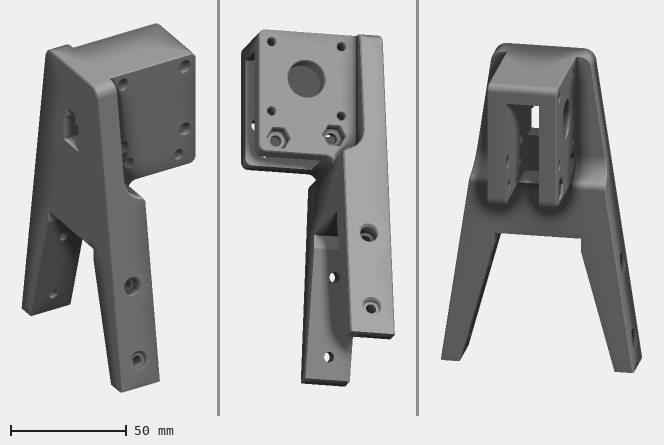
import cadquery as cq
import math

height = 140.7
depth = 53.6
foot_half = 42.41
front_y = -depth / 2
back_y = depth / 2

crown_half = 21.5
crown_radius = 5.3
outer_lean = math.atan2(foot_half - crown_half, height)
frame_depth = 19.8
frame_back_y = front_y + frame_depth
frame_chamfer = 0.5

foot_inner_half = 34.0
arch_half = 19.3
arch_height = 60.2
arch_knee_height = 54.3
inner_lean = math.atan2(foot_inner_half - arch_half, arch_knee_height)

front_axle = (-6.8, 95.1)
rear_axle = (18.0, 92.3)
axle_hole = 5.0
nut_flats = 8.7
nut_depth = 5.0

sweep_radius = 9.7
wing_back_y = front_axle[0] - sweep_radius
crest_radius = 3.0

box_half = 15.3
box_bottom = 85.8
box_corner_radius = 3.0
box_root_radius = 4.2
box_chamfer = 0.5
box_embed = 2.8

cavity_half = 7.5
cavity_top = height - (box_half - cavity_half)
cavity_front_y = front_y + 9.0

window_bottom = 102.3
window_shoulder = 114.8
window_top = 119.5
window_half = 6.3
window_neck_half = 4.0

motor_y = 5.6
motor_z = 119.5
shaft_bore = 16.3
motor_screw_spacing = 31.1
motor_screw_hole = 3.5
screw_access_hole = 6.0
hole_chamfer = 0.49

leg_screw_y = front_y + frame_depth / 2
leg_screw_heights = (12.0, 46.3)
leg_screw_hole = 4.5
leg_head_hole = 7.5
leg_seat = 8.0
overshoot = 1.4


def block(x_half, y0, y1, z0, z1):
    """Box centred on X = 0 between the given Y and Z limits."""
    solid = cq.Workplane("XY").box(2 * x_half, y1 - y0, z1 - z0, centered=(True, False, False))
    return solid.translate((0, y0, z0))


def x_cylinder(diameter, y, z, x0, x1):
    """Round bar along X."""
    return cq.Workplane("YZ", origin=(x0, y, z)).circle(diameter / 2).extrude(x1 - x0)


def countersink(diameter, mouth, axis, lead=0.0):
    """45 degree cone that breaks the edge of a hole; it starts `lead` before the mouth."""
    length = lead + hole_chamfer
    radius = diameter / 2
    cone = cq.Solid.makeCone(radius + length, radius, length, mouth - axis * lead, axis)
    return cq.Workplane(cone)


def on_outer_outline(edge):
    """True for the edges where the front and back surfaces meet the outer sides and the crown."""
    middle = edge.positionAt(0.5)
    crosses_plate = math.isclose(abs(edge.tangentAt(0).y), 1) and math.isclose(abs(edge.tangentAt(1).y), 1)
    same_height = math.isclose(edge.startPoint().z, edge.endPoint().z, abs_tol=1.41e-06)
    crosses_plate = crosses_plate and same_height
    side_x = foot_half - middle.z * math.tan(outer_lean)
    on_side = middle.z > frame_chamfer and abs(middle.x) > side_x - frame_chamfer
    on_crown = middle.z > height - crown_radius
    return (on_side or on_crown) and not crosses_plate


def make_frame():
    """A-frame with its arch, thinned wings and chamfered outline."""
    plate = (
        cq.Workplane("XZ", origin=(0, frame_back_y, 0))
        .polyline([(-foot_half, 0), (-crown_half, height), (crown_half, height), (foot_half, 0)])
        .close()
        .extrude(frame_depth)
        .edges("|Y and >Z")
        .fillet(crown_radius)
    )
    axle_y, axle_z = front_axle
    sweep = x_cylinder(2 * sweep_radius, axle_y, axle_z, -foot_half, foot_half)
    above_sweep = block(foot_half, wing_back_y, frame_back_y, axle_z, height)
    plate = plate.cut(sweep.union(above_sweep))
    crest = cq.selectors.NearestToPointSelector((0, frame_back_y, axle_z - sweep_radius))
    plate = plate.edges("|X").edges(crest).fillet(crest_radius)
    plate = plate.edges().filter(on_outer_outline).chamfer(frame_chamfer)
    arch = (
        cq.Workplane("XZ", origin=(0, frame_back_y, 0))
        .moveTo(-foot_inner_half, 0)
        .lineTo(-arch_half, arch_knee_height)
        .lineTo(-arch_half, arch_height)
        .lineTo(arch_half, arch_height)
        .lineTo(arch_half, arch_knee_height)
        .lineTo(foot_inner_half, 0)
        .close()
        .extrude(frame_depth)
    )
    return plate.cut(arch)


def make_motor_box():
    """Box that grows out of the frame, with a rounded root under it."""
    inside_y = front_y + box_embed
    profile = (
        cq.Workplane("YZ", origin=(-box_half, 0, 0))
        .moveTo(inside_y, height)
        .lineTo(back_y, height)
        .lineTo(back_y, box_bottom)
        .lineTo(frame_back_y, box_bottom)
        .lineTo(frame_back_y, arch_height)
        .lineTo(inside_y, arch_height)
        .close()
        .extrude(2 * box_half)
    )
    root = cq.selectors.NearestToPointSelector((0, frame_back_y, box_bottom))
    box = profile.edges("|X and >Y").fillet(box_corner_radius)
    box = box.edges("|X").edges(root).fillet(box_root_radius)
    return box.faces("<X or >X").edges().chamfer(box_chamfer)


def cut_belt_path(body):
    """Pulley cavity and the stepped belt window in front of it."""
    cavity = block(cavity_half, cavity_front_y, back_y, box_bottom, cavity_top)
    window = block(window_half, front_y, cavity_front_y, window_bottom, window_shoulder)
    neck = block(window_neck_half, front_y, cavity_front_y, window_shoulder, window_top)
    return body.cut(cavity).cut(window).cut(neck)


def cut_wall_hole(body, diameter, y, z):
    """Chamfered round hole through the -X wall of the box."""
    mouth = cq.Vector(-box_half, y, z)
    body = body.cut(x_cylinder(diameter, y, z, -box_half, 0))
    return body.cut(countersink(diameter, mouth, cq.Vector(1, 0, 0)))


def cut_motor_mount(body):
    """Shaft bore and the square pattern of four motor screws."""
    body = cut_wall_hole(body, shaft_bore, motor_y, motor_z)
    offset = motor_screw_spacing / 2
    for y in (motor_y - offset, motor_y + offset):
        for z in (motor_z - offset, motor_z + offset):
            body = cut_wall_hole(body, motor_screw_hole, y, z)
            body = body.cut(x_cylinder(screw_access_hole, y, z, 0, box_half))
    return body


def cut_axle(body, y, z):
    """Axle hole across the box with a chamfered hexagonal nut trap."""
    face = cq.Workplane("YZ", origin=(-box_half, y, z))
    corner_ratio = 1 / math.cos(math.pi / 6)
    nut = face.polygon(6, nut_flats * corner_ratio).extrude(nut_depth)
    mouth_flats = nut_flats + 2 * hole_chamfer
    mouth = face.polygon(6, mouth_flats * corner_ratio).extrude(hole_chamfer, taper=45)
    bore = x_cylinder(axle_hole, y, z, -box_half, box_half)
    return body.cut(nut).cut(mouth).cut(bore)


def leg_screw(z):
    """Cutter for one counterbored screw hole in the -X leg."""
    outer_x = -foot_half + z * math.tan(outer_lean)
    inner_x = -foot_inner_half + z * math.tan(inner_lean)
    leg_thickness = (inner_x - outer_x) * math.cos(inner_lean)
    head_depth = leg_thickness - leg_seat
    mouth = cq.Vector(outer_x, leg_screw_y, z)
    axis = cq.Vector(math.cos(inner_lean), 0, -math.sin(inner_lean))
    start = mouth - axis * overshoot
    shank = cq.Solid.makeCylinder(leg_screw_hole / 2, leg_thickness + 2 * overshoot, start, axis)
    head = cq.Solid.makeCylinder(leg_head_hole / 2, head_depth + overshoot, start, axis)
    cutter = cq.Workplane(shank).union(cq.Workplane(head))
    return cutter.union(countersink(leg_head_hole, mouth, axis, overshoot))


result = make_frame().union(make_motor_box())
result = cut_belt_path(result)
result = cut_motor_mount(result)
for axle_y, axle_z in (front_axle, rear_axle):
    result = cut_axle(result, axle_y, axle_z)
for screw_z in leg_screw_heights:
    screw = leg_screw(screw_z)
    result = result.cut(screw).cut(screw.mirror("YZ"))